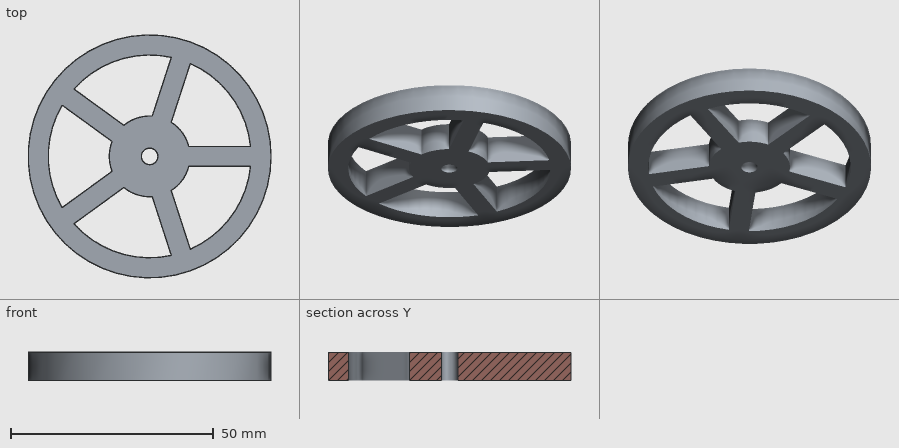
import cadquery as cq

wheel_diameter = 60.0
wheel_thickness = 7.0
rim_inner_diameter = 50.0
hub_diameter = 20.0
bore_diameter = 4.0
spoke_width = 5.0
spoke_count = 5

spoke_length = (wheel_diameter + rim_inner_diameter) / 4
spoke_spacing = 360 / spoke_count


def make_rim():
    return (
        cq.Workplane("XY")
        .circle(wheel_diameter / 2)
        .circle(rim_inner_diameter / 2)
        .extrude(wheel_thickness)
    )


def make_hub():
    return cq.Workplane("XY").circle(hub_diameter / 2).extrude(wheel_thickness)


def make_spoke(angle):
    """Straight full-thickness spoke, turned by angle from the +X direction."""
    spoke = cq.Workplane("XY").box(
        spoke_length, spoke_width, wheel_thickness, centered=(False, True, False)
    )
    return spoke.rotate((0, 0, 0), (0, 0, 1), angle)


wheel = make_rim().union(make_hub())
for index in range(spoke_count):
    wheel = wheel.union(make_spoke(index * spoke_spacing))

bore = cq.Workplane("XY").circle(bore_diameter / 2).extrude(wheel_thickness)
result = wheel.cut(bore)